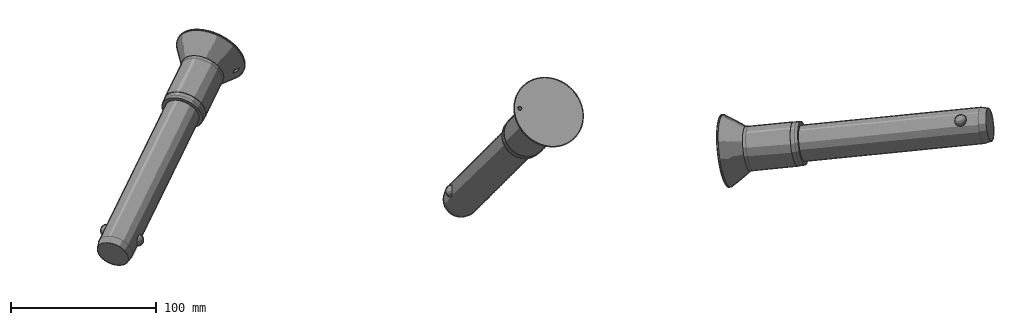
import cadquery as cq

length = 186.8

head_radius = 25.0
rim_thickness = 1.1
head_length = 15.9
flare_sag = 0.2

neck_radius = 15.5
neck_length = 2.2
sleeve_radius = 15.3
sleeve_length = 31.4
collar_radius = 15.1
collar_length = 5.2
collar_bevel_length = 2.2
collar_bevel = 0.2

shank_radius = 12.5
tip_radius = 11.4
tip_length = 5.0

ball_radius = 4.3
ball_reach = 15.5
ball_from_tip = 17.5

lanyard_hole_diameter = 2.8
lanyard_hole_offset = 21.1

tip_y = -length / 2
head_top_y = length / 2
rim_y = head_top_y - rim_thickness
flare_end_y = head_top_y - head_length
neck_end_y = flare_end_y - neck_length
sleeve_end_y = neck_end_y - sleeve_length
collar_end_y = sleeve_end_y - collar_length


def make_body():
    """Revolve the half outline of the pin about the Y axis."""
    return (
        cq.Workplane("XY")
        .moveTo(0, tip_y)
        .lineTo(tip_radius, tip_y)
        .lineTo(shank_radius, tip_y + tip_length)
        .lineTo(shank_radius, collar_end_y)
        .lineTo(collar_radius - collar_bevel, collar_end_y)
        .lineTo(collar_radius, collar_end_y + collar_bevel_length)
        .lineTo(collar_radius, sleeve_end_y)
        .lineTo(sleeve_radius, sleeve_end_y)
        .lineTo(sleeve_radius, neck_end_y)
        .lineTo(neck_radius, flare_end_y)
        .sagittaArc((head_radius, rim_y), -flare_sag)
        .lineTo(head_radius, head_top_y)
        .lineTo(0, head_top_y)
        .close()
        .revolve(360, (0, 0), (0, 1))
    )


def make_ball(side):
    """Locking ball on the +X (side = 1) or -X (side = -1) flank of the shank."""
    ball_x = side * (ball_reach - ball_radius)
    return cq.Workplane("XY").sphere(ball_radius).translate((ball_x, tip_y + ball_from_tip, 0))


def make_lanyard_hole():
    """Cutter that runs parallel to the pin axis through the edge of the head."""
    return (
        cq.Workplane("XZ", origin=(lanyard_hole_offset, head_top_y, 0))
        .circle(lanyard_hole_diameter / 2)
        .extrude(head_length)
    )


result = make_body()
for side in (-1, 1):
    result = result.union(make_ball(side))
result = result.cut(make_lanyard_hole())